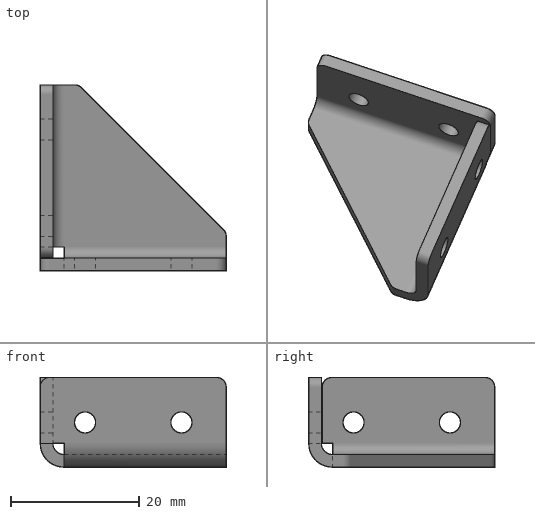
import cadquery as cq

side = 29.0
height = 14.0
thickness = 2.0
bend_radius = 3.7
corner_radius = 1.5
flange_gap = 0.1
floor_flat = 6.0
hole_diameter = 3.25
hole_inset = 7.0
hole_height = 7.0

inner_bend_radius = bend_radius - thickness
strip_length = side - bend_radius


def flange(start):
    """Upright plate with its outer face on Y = 0, running along X from start to the far side."""
    plate = (
        cq.Workplane("XY")
        .box(side - start, thickness, height - bend_radius, centered=False)
        .translate((start, 0, bend_radius))
        .edges("|Y and >Z")
        .fillet(corner_radius)
    )
    holes = (
        cq.Workplane("XZ")
        .pushPoints([(hole_inset, hole_height), (side - hole_inset, hole_height)])
        .circle(hole_diameter / 2)
        .extrude(-thickness)
    )
    return plate.cut(holes)


def bend():
    """Quarter-round strip joining the floor to a flange along Y = 0."""
    ring = (
        cq.Workplane("YZ", origin=(bend_radius, 0, 0))
        .center(bend_radius, bend_radius)
        .circle(bend_radius)
        .circle(inner_bend_radius)
        .extrude(strip_length)
    )
    quadrant = (
        cq.Workplane("XY")
        .box(strip_length, bend_radius, bend_radius, centered=False)
        .translate((bend_radius, 0, 0))
    )
    return ring.intersect(quadrant)


def swap_x_and_y(body):
    """Mirror a body across the vertical plane X = Y."""
    return body.rotate((0, 0, 0), (0, 0, 1), 90).mirror("YZ")


def floor():
    """Gusset plate with a 45 degree outer edge and rounded ends."""
    plate = (
        cq.Workplane("XY")
        .moveTo(bend_radius, bend_radius)
        .lineTo(side, bend_radius)
        .lineTo(side, floor_flat)
        .lineTo(floor_flat, side)
        .lineTo(bend_radius, side)
        .close()
        .extrude(thickness)
    )
    diagonal = cq.selectors.DirectionMinMaxSelector(cq.Vector(1, 1, 0))
    return plate.edges("|Z").edges(diagonal).fillet(corner_radius)


front_flange = flange(0)
left_flange = swap_x_and_y(flange(thickness + flange_gap))

result = (
    floor()
    .union(bend())
    .union(swap_x_and_y(bend()))
    .union(front_flange)
    .union(left_flange)
)